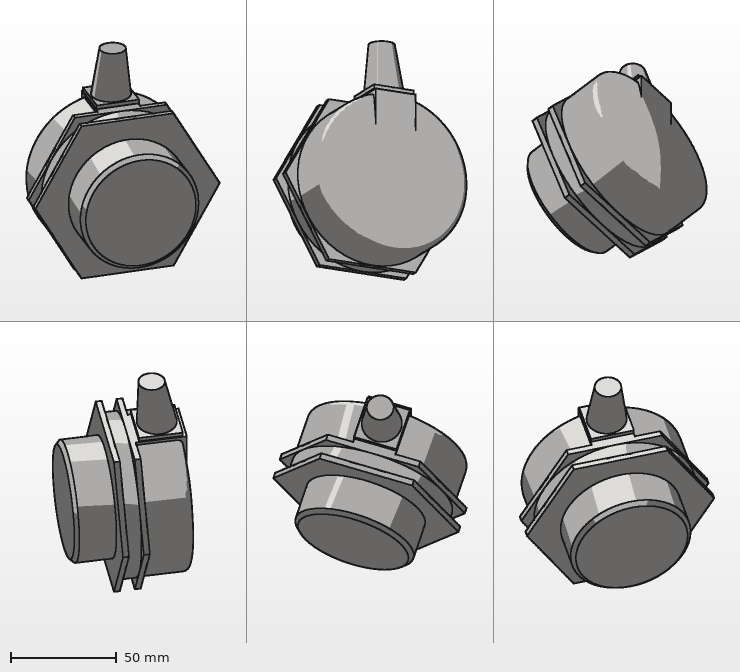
import cadquery as cq
import math

total_length = 59.0
cap_radius = 39.6
dome_rise = 4.0
cap_edge_fillet = 2.9

hex_across_flats = 79.6
hex_thickness = 2.9
hex_starts = (26.1, 36.2)
groove_diameter = 79.6
spigot_diameter = 59.0
spigot_chamfer = 2.0

block_front = 1.5
block_width = 21.1
block_bottom = 19.3

stem_x = 14.0
neck_width = 18.1
neck_height = 0.5
plate_thickness = 2.0
cone_base_diameter = 19.0
cone_top_diameter = 12.6
cone_top_shift = 2.5
overall_height = 107.0

hex_across_corners = hex_across_flats / math.cos(math.pi / 6)
block_top = hex_across_flats / 2
cone_base_z = block_top + neck_height + plate_thickness
cone_height = overall_height - block_top - cone_base_z
dome_radius = (cap_radius**2 + dome_rise**2) / (2 * dome_rise)


def disc(diameter, start, end):
    """Cylinder along X between two stations."""
    return cq.Workplane("YZ", origin=(start, 0, 0)).circle(diameter / 2).extrude(end - start)


def domed_cap():
    """Round cap with a shallow spherical face and a rounded rim."""
    half_chord = cap_radius / 2
    mid_x = dome_radius - math.sqrt(dome_radius**2 - half_chord**2)
    cap = (
        cq.Workplane("XY")
        .moveTo(0, 0)
        .threePointArc((mid_x, half_chord), (dome_rise, cap_radius))
        .lineTo(hex_starts[0], cap_radius)
        .lineTo(hex_starts[0], 0)
        .close()
        .revolve(360, (0, 0, 0), (1, 0, 0))
    )
    return cap.faces("%SPHERE").edges("%CIRCLE").edges(">X").fillet(cap_edge_fillet)


def hex_flange(start):
    """Hexagonal plate with corners on Y and flats facing Z."""
    return (
        cq.Workplane("YZ", origin=(start, 0, 0))
        .polygon(6, hex_across_corners)
        .extrude(hex_thickness)
    )


def cable_block():
    """Rectangular block running from the dome to the first hexagon."""
    return cq.Workplane("XY").box(
        hex_starts[0] - block_front,
        block_width,
        block_top - block_bottom,
        centered=(False, True, False),
    ).translate((block_front, 0, block_bottom))


def cable_stem():
    """Square neck and plate carrying a leaning tapered stem."""
    neck = (
        cq.Workplane("XY", origin=(stem_x, 0, block_top))
        .rect(neck_width, neck_width)
        .extrude(neck_height)
    )
    plate = (
        cq.Workplane("XY", origin=(stem_x, 0, block_top + neck_height))
        .rect(block_width, block_width)
        .extrude(plate_thickness)
    )
    cone = (
        cq.Workplane("XY", origin=(stem_x, 0, cone_base_z))
        .circle(cone_base_diameter / 2)
        .workplane(offset=cone_height)
        .center(cone_top_shift, 0)
        .circle(cone_top_diameter / 2)
        .loft(ruled=True)
    )
    return neck.union(plate).union(cone)


groove = disc(groove_diameter, hex_starts[0], hex_starts[1])
spigot = disc(spigot_diameter, hex_starts[1], total_length)
spigot = spigot.faces(">X").chamfer(spigot_chamfer)
result = domed_cap().union(groove).union(spigot)

for hex_start in hex_starts:
    result = result.union(hex_flange(hex_start))

result = result.union(cable_block()).union(cable_stem())